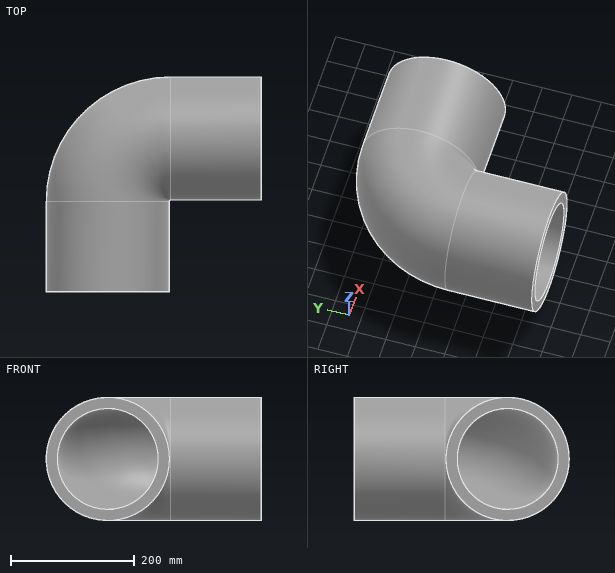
import cadquery as cq

outer_diameter = 200.0
bore_diameter = 163.6
overall_length = 349.0
straight_length = 147.0

bend_radius = overall_length - straight_length - outer_diameter / 2
bend_angle = 90.0


def elbow(diameter):
    """Solid round bar: straight leg along Y, quarter bend, straight leg along X.

    The corner where the two leg axes meet is at the origin.
    """
    radius = diameter / 2

    leg_y = (
        cq.Workplane("XZ", origin=(0, -bend_radius, 0))
        .circle(radius)
        .extrude(straight_length)
    )

    bend = (
        cq.Workplane("XZ", origin=(0, -bend_radius, 0))
        .circle(radius)
        .revolve(bend_angle, (bend_radius, 1, 0), (bend_radius, 0, 0))
    )

    leg_x = (
        cq.Workplane("YZ", origin=(bend_radius, 0, 0))
        .circle(radius)
        .extrude(straight_length)
    )

    return leg_y.union(bend).union(leg_x)


result = elbow(outer_diameter).cut(elbow(bore_diameter))